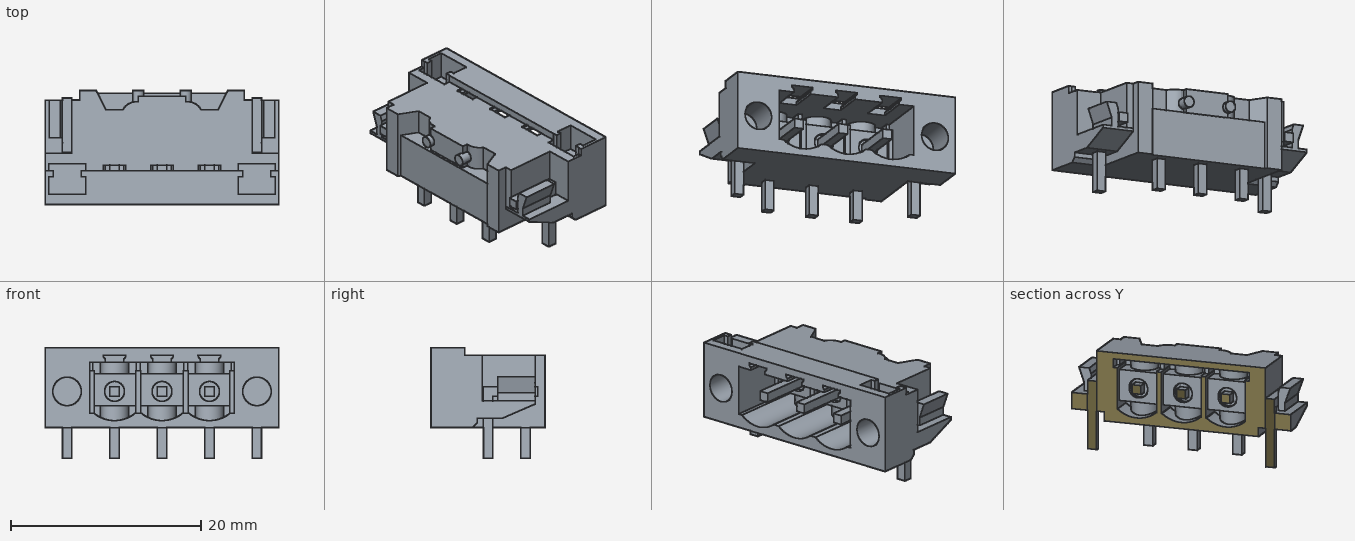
import cadquery as cq


length = 24.6
depth = 12.0
front_height = 8.41
rear_height = 7.63
raised_depth = 3.57
half_length = length / 2

pole_pitch = 5.0
pole_centres = [-pole_pitch, 0, pole_pitch]
flange_centre = 2 * pole_pitch
axis_height = 3.81

pin_size = 1.0
pin_below = 3.22
contact_front = 1.0
contact_rear = 10.45
anchor_front = 5.5
anchor_rear = 11.22
anchor_top = 4.3
anchor_bar_height = 0.98

wing_rear = 5.4
body_side = flange_centre - pin_size / 2
post_side = 8.65
post_front = 11.0
arm_rear = 10.97
arm_top = 2.8
arm_tip_bottom = 2.48
arm_slope_front = 7.5
arm_bottom = 0.98
foot_rear = 4.85
foot_chamfer_front = 4.35
foot_chamfer_height = 0.5

hook_front = 7.0
hook_top = 5.35
hook_slope_bottom = 3.7
hook_inner = flange_centre + pin_size / 2
hook_stem_outer = 11.27
hook_top_outer = 11.85
hook_top_inner = 10.7
hook_bevel_bottom = 4.75

pocket_width = 3.89
pocket_neck_width = 2.95
pocket_front = 1.1
pocket_neck_front = 2.93
pocket_neck_rear = 3.55
pocket_rear = 4.28
pocket_floor = 5.5
hole_diameter = 3.0

cavity_half_length = 7.6
cavity_bottom = 1.5
cavity_top = 6.9
cavity_rear = 8.49
rib_thickness = 0.55
rib_front = 6.0
rib_top = 6.0
upper_rib_thickness = 0.45
upper_rib_front = 7.0
trough_half_width = 2.15
trough_bottom = 0.75
column_radius = 1.48
block_front = 6.5
block_bottom = 2.3
block_top = 5.68
recess_diameter = 2.1
recess_depth = 0.5

slot_rear = 4.15
slot_neck_half = 0.95
slot_head_half = 1.18
slot_neck_top = 7.18
slot_head_bottom = 7.45
slot_top = rear_height

rear_face = 11.7
recess_floor = 5.0
recess_mouth_half = 6.91
recess_corner_half = 5.9
recess_deep_face = 9.96
recess_arc_outer = 4.1
recess_arc_inner = 2.73
recess_arc_radius = 1.5
recess_shoulder_face = 10.8
tongue_half = pole_pitch / 2
tongue_face = 11.41
stud_radius = 0.6
stud_height = 6.15


def box(x_range, y_range, z_range):
    """Box between the given limits on each axis."""
    (x0, x1), (y0, y1), (z0, z1) = x_range, y_range, z_range
    return cq.Workplane("XY").box(x1 - x0, y1 - y0, z1 - z0, centered=False).translate((x0, y0, z0))


def across(points, x_start, x_end):
    """Prism along X from an outline of (y, z) points."""
    return cq.Workplane("YZ").workplane(offset=x_start).polyline(points).close().extrude(x_end - x_start)


def front_plane(y):
    """Plane at depth y, facing the rear, with local axes (-X, Z)."""
    return cq.Workplane(cq.Plane(origin=(0, y, 0), xDir=(-1, 0, 0), normal=(0, 1, 0)))


def both_ends(shape):
    """The shape together with its mirror image at the other end of the row."""
    return shape.union(shape.mirror("YZ"))


def make_contact(x):
    """Bent square contact: mating tip along Y and a solder leg down at the rear."""
    top = axis_height + pin_size / 2
    outline = [
        (contact_front, top),
        (contact_rear, top),
        (contact_rear, -pin_below),
        (contact_rear - pin_size, -pin_below),
        (contact_rear - pin_size, top - pin_size),
        (contact_front, top - pin_size),
    ]
    return across(outline, x - pin_size / 2, x + pin_size / 2)


def make_anchor(x):
    """Bent board anchor: a bar along Y and a solder leg down at the front."""
    bar_bottom = anchor_top - anchor_bar_height
    outline = [
        (anchor_front, anchor_top),
        (anchor_rear, anchor_top),
        (anchor_rear, bar_bottom),
        (anchor_front + pin_size, bar_bottom),
        (anchor_front + pin_size, -pin_below),
        (anchor_front, -pin_below),
    ]
    return across(outline, x - pin_size / 2, x + pin_size / 2)


def make_shell():
    """Main body with corner posts, front wings and side arms."""
    body_outline = [
        (0, 0),
        (depth, 0),
        (depth, rear_height),
        (raised_depth, rear_height),
        (raised_depth, front_height),
        (0, front_height),
    ]
    wing_outline = [
        (0, 0),
        (foot_chamfer_front, 0),
        (foot_rear, foot_chamfer_height),
        (foot_rear, arm_bottom),
        (arm_slope_front, arm_bottom),
        (arm_rear, arm_tip_bottom),
        (arm_rear, arm_top),
        (wing_rear, arm_top),
        (wing_rear, rear_height),
        (raised_depth, rear_height),
        (raised_depth, front_height),
        (0, front_height),
    ]
    body = across(body_outline, -post_side, post_side)
    wing = across(wing_outline, post_side, half_length)
    cheek = box((post_side, body_side), (wing_rear, post_front), (arm_top, rear_height))
    return body.union(both_ends(wing.union(cheek)))


def make_hook():
    """Hook on the right-hand arm, overhanging outward at the top."""
    outline = [
        (hook_inner, arm_top),
        (hook_stem_outer, arm_top),
        (hook_stem_outer, hook_slope_bottom),
        (hook_top_outer, hook_top),
        (hook_top_inner, hook_top),
        (hook_inner, hook_bevel_bottom),
    ]
    mirrored = [(-x, z) for x, z in outline]
    return front_plane(hook_front).polyline(mirrored).close().extrude(arm_rear - hook_front)


def make_flange_cut():
    """Nut pocket open at the top and blind mounting hole at the right-hand end."""
    def slab(width, y_start, y_end):
        x_limits = (flange_centre - width / 2, flange_centre + width / 2)
        return box(x_limits, (y_start, y_end), (pocket_floor, front_height))

    pocket = (
        slab(pocket_width, pocket_front, pocket_neck_front)
        .union(slab(pocket_neck_width, pocket_neck_front, pocket_neck_rear))
        .union(slab(pocket_width, pocket_neck_rear, pocket_rear))
    )
    hole = front_plane(0).center(-flange_centre, axis_height).circle(hole_diameter / 2).extrude(pocket_rear)
    return pocket.union(hole)


def make_trough(x):
    """Arched hollow in the cavity floor below one pole."""
    return (
        front_plane(0)
        .moveTo(-x - trough_half_width, cavity_bottom)
        .threePointArc((-x, trough_bottom), (-x + trough_half_width, cavity_bottom))
        .close()
        .extrude(cavity_rear)
    )


def make_coding_slot(x):
    """Dovetail slot in the cavity roof above one pole."""
    half_outline = [
        (slot_neck_half, cavity_top),
        (slot_neck_half, slot_neck_top),
        (slot_head_half, slot_head_bottom),
        (slot_head_half, slot_top),
    ]
    outline = [(w - x, z) for w, z in half_outline] + [(-w - x, z) for w, z in reversed(half_outline)]
    return front_plane(0).polyline(outline).close().extrude(slot_rear)


def make_pole_support(x):
    """Upright round column and the block that carries one contact, with a round recess."""
    column = (
        cq.Workplane("XY", origin=(x, cavity_rear, trough_bottom))
        .circle(column_radius)
        .extrude(cavity_top - trough_bottom)
    )
    x_limits = (x - pole_pitch / 2, x + pole_pitch / 2)
    block = box(x_limits, (block_front, cavity_rear), (block_bottom, block_top))
    recess = (
        front_plane(block_front)
        .center(-x, axis_height)
        .circle(recess_diameter / 2)
        .extrude(recess_depth)
    )
    return column.union(block).cut(recess)


def make_rib(x, lower_x):
    """Upright rib spanning lower_x below its shoulder, thinner and set back above it, centred on x there."""
    upper_x = (x - upper_rib_thickness / 2, x + upper_rib_thickness / 2)
    lower = box(lower_x, (rib_front, cavity_rear), (cavity_bottom, rib_top))
    upper = box(upper_x, (upper_rib_front, cavity_rear), (rib_top, cavity_top))
    return lower.union(upper)


def make_cavity():
    """Empty space of the mating cavity."""
    x_limits = (-cavity_half_length, cavity_half_length)
    cavity = box(x_limits, (0, cavity_rear), (cavity_bottom, cavity_top))
    for x in pole_centres:
        cavity = cavity.union(make_trough(x)).union(make_coding_slot(x))
    for x in pole_centres:
        cavity = cavity.cut(make_pole_support(x))

    middle_rib = pole_pitch / 2
    end_rib = middle_rib + pole_pitch
    middle_limits = (middle_rib - rib_thickness / 2, middle_rib + rib_thickness / 2)
    end_limits = (pole_pitch + trough_half_width, cavity_half_length)
    right_ribs = make_rib(middle_rib, middle_limits).union(make_rib(end_rib, end_limits))
    return cavity.cut(both_ends(right_ribs))


def make_rear_recess():
    """Recess behind the poles: stepped and curved above its floor, shallow below it."""
    mouth_slope = (recess_mouth_half - recess_corner_half) / (depth - recess_deep_face)
    rear_half = recess_corner_half + mouth_slope * (rear_face - recess_deep_face)
    shallow = (
        cq.Workplane("XY")
        .polyline([
            (-recess_mouth_half, depth),
            (recess_mouth_half, depth),
            (rear_half, rear_face),
            (-rear_half, rear_face),
        ])
        .close()
        .extrude(rear_height)
    )
    deep = (
        cq.Workplane("XY", origin=(0, 0, recess_floor))
        .moveTo(0, depth)
        .lineTo(recess_mouth_half, depth)
        .lineTo(recess_corner_half, recess_deep_face)
        .lineTo(recess_arc_outer, recess_deep_face)
        .radiusArc((recess_arc_inner, recess_shoulder_face), -recess_arc_radius)
        .lineTo(tongue_half, recess_shoulder_face)
        .lineTo(tongue_half, tongue_face)
        .lineTo(0, tongue_face)
        .close()
        .extrude(rear_height - recess_floor)
    )
    return shallow.union(both_ends(deep))


def make_stud():
    """Round stud at the right-hand shoulder of the rear recess."""
    return (
        front_plane(recess_shoulder_face)
        .center(-tongue_half, stud_height)
        .circle(stud_radius)
        .extrude(depth - recess_shoulder_face)
    )


def make_housing(pins):
    """Complete housing with matching holes for all the pins."""
    housing = make_shell().union(both_ends(make_hook()))
    housing = housing.cut(both_ends(make_flange_cut())).cut(make_cavity())
    housing = housing.cut(make_rear_recess()).union(both_ends(make_stud()))
    for pin in pins:
        housing = housing.cut(pin)
    return housing


contacts = [make_contact(x) for x in pole_centres]
anchors = [make_anchor(x) for x in (-flange_centre, flange_centre)]
housing = make_housing(contacts + anchors)

result = cq.Compound.makeCompound([
    housing.solids().val(),
    *[contact.val() for contact in contacts],
    *[anchor.val() for anchor in anchors],
])